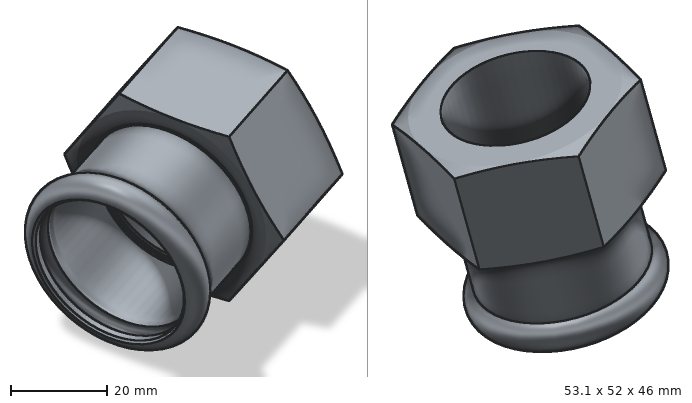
import cadquery as cq
import math

hex_across_corners = 53.1
hex_across_flats = hex_across_corners * math.cos(math.radians(30))
total_length = 52.0
hex_length = 26.05
hex_start = total_length - hex_length
hex_chamfer_angle = 15.0
hex_face_radius = hex_across_flats / 2 - 0.15

tube_radius = 38.4 / 2
collar_radius = 38.95 / 2
collar_chamfer = collar_radius - tube_radius
bead_width = 7.45
bead_radius = 43.65 / 2
bead_end_radius = 18.5

mouth_radius = 35.8 / 2
lip_depth = 0.55
groove_start = 2.25
groove_end = 5.5
groove_radius = 19.9
taper_start = 6.5
taper_end = 7.55
socket_radius = 35.4 / 2
socket_depth = hex_start
socket_end_chamfer = 0.35
bore_radius = 32.0 / 2
bore_chamfer = 0.4


def revolve_about_axis(sketch):
    """Turn a (radius, Y) outline about the Y axis."""
    return sketch.close().revolve(360, (0, 0, 0), (0, 1, 0))


def make_hexagon():
    """Hexagon with both ends chamfered by a cone."""
    hexagon = (
        cq.Workplane("XZ", origin=(0, total_length, 0))
        .polygon(6, hex_across_corners)
        .extrude(hex_length)
    )
    cone_radius = hex_across_corners
    cone_drop = (cone_radius - hex_face_radius) * math.tan(math.radians(hex_chamfer_angle))
    envelope = revolve_about_axis(
        cq.Workplane("XY")
        .moveTo(0, hex_start)
        .lineTo(hex_face_radius, hex_start)
        .lineTo(cone_radius, hex_start + cone_drop)
        .lineTo(cone_radius, total_length - cone_drop)
        .lineTo(hex_face_radius, total_length)
        .lineTo(0, total_length)
    )
    return hexagon.intersect(envelope)


def make_tube():
    """Tube with the mouth bead and the small cone where it meets the hexagon."""
    return revolve_about_axis(
        cq.Workplane("XY")
        .lineTo(bead_end_radius, 0)
        .threePointArc((bead_radius, bead_width / 2), (bead_end_radius, bead_width))
        .lineTo(tube_radius, bead_width)
        .lineTo(tube_radius, hex_start - collar_chamfer)
        .lineTo(collar_radius, hex_start)
        .lineTo(collar_radius, total_length)
        .lineTo(0, total_length)
    )


def make_bore():
    """Mouth, seal groove, tapered socket and the smaller through bore."""
    groove_middle = (groove_start + groove_end) / 2
    return revolve_about_axis(
        cq.Workplane("XY")
        .lineTo(bead_end_radius, 0)
        .lineTo(mouth_radius, lip_depth)
        .lineTo(mouth_radius, groove_start)
        .threePointArc((groove_radius, groove_middle), (mouth_radius, groove_end))
        .lineTo(mouth_radius, taper_start)
        .lineTo(socket_radius, taper_end)
        .lineTo(socket_radius, socket_depth - socket_end_chamfer)
        .lineTo(socket_radius - socket_end_chamfer, socket_depth)
        .lineTo(bore_radius + bore_chamfer, socket_depth)
        .lineTo(bore_radius, socket_depth + bore_chamfer)
        .lineTo(bore_radius, total_length)
        .lineTo(0, total_length)
    )


result = make_hexagon().union(make_tube()).cut(make_bore())